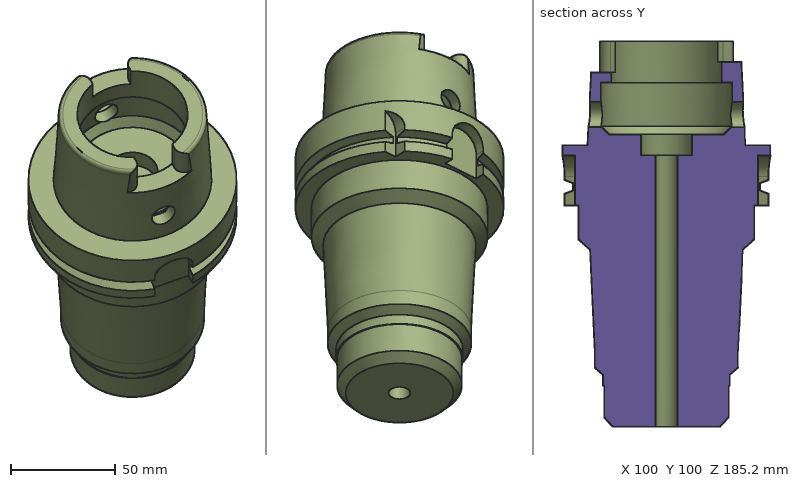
import cadquery as cq

SHANK_LENGTH = 50.0
SHANK_BASE_RADIUS = 38.0
SHANK_TIP_RADIUS = 35.5
SHANK_RIM_FILLET = 2.0

FLANGE_RADIUS = 50.0
FLANGE_THICKNESS = 29.0
GROOVE_RADIUS = 46.0
GROOVE_CENTER_Z = -20.0
GROOVE_FLOOR_WIDTH = 3.4
GROOVE_MOUTH_WIDTH = 6.6

COLLAR_RADIUS = 42.3
COLLAR_END_Z = -45.3
BODY_TOP_RADIUS = 36.75
BODY_TOP_Z = -50.2
BODY_END_RADIUS = 34.5
BODY_TAPER_END_Z = -98.9
BODY_END_Z = -106.8
NECK_RADIUS = 30.5
NECK_TOP_Z = -110.3
NOSE_RADIUS = 30.0
NOSE_TOP_Z = -115.5
NOSE_CHAMFER_HEIGHT = 4.5
NOSE_CHAMFER_WIDTH = 4.2
BODY_LENGTH = 135.2

MOUTH_BORE_RADIUS = 26.5
MOUTH_BORE_DEPTH = 20.0
CHAMBER_RADIUS = 31.5
CHAMBER_FLOOR_Z = 5.2
CHAMBER_FLOOR_CHAMFER = 4.0
RECESS_RADIUS = 12.2
RECESS_DEPTH = 10.0
COOLANT_RADIUS = 5.25

RIM_SLOT_WIDTH = 20.0
RIM_SLOT_DEPTH_NEG_X = 10.0
RIM_SLOT_DEPTH_POS_X = 15.0
DRIVE_LUG_HALF_LENGTH = 32.1
DRIVE_LUG_CORNER_RADIUS = 5.0

CROSS_HOLE_RADIUS = 6.0
CROSS_HOLE_Z = 14.8

KEYWAY_RADIUS = 10.0
KEYWAY_TOP_Z = -5.0
KEYWAY_FLOOR_X = 44.0
NOTCH_FLOOR_X = 32.2
NOTCH_EDGE_Y = 31.5

CUT_MARGIN = 5.0
CUT_REACH = FLANGE_RADIUS + CUT_MARGIN


def make_body():
    """Revolve the outer half profile about Z."""
    floor_half = GROOVE_FLOOR_WIDTH / 2
    mouth_half = GROOVE_MOUTH_WIDTH / 2
    outline = [
        (0, SHANK_LENGTH),
        (SHANK_TIP_RADIUS, SHANK_LENGTH),
        (SHANK_BASE_RADIUS, 0),
        (FLANGE_RADIUS, 0),
        (FLANGE_RADIUS, GROOVE_CENTER_Z + mouth_half),
        (GROOVE_RADIUS, GROOVE_CENTER_Z + floor_half),
        (GROOVE_RADIUS, GROOVE_CENTER_Z - floor_half),
        (FLANGE_RADIUS, GROOVE_CENTER_Z - mouth_half),
        (FLANGE_RADIUS, -FLANGE_THICKNESS),
        (COLLAR_RADIUS, -FLANGE_THICKNESS),
        (COLLAR_RADIUS, COLLAR_END_Z),
        (BODY_TOP_RADIUS, BODY_TOP_Z),
        (BODY_END_RADIUS, BODY_TAPER_END_Z),
        (BODY_END_RADIUS, BODY_END_Z),
        (NECK_RADIUS, NECK_TOP_Z),
        (NECK_RADIUS, NOSE_TOP_Z),
        (NOSE_RADIUS, NOSE_TOP_Z),
        (NOSE_RADIUS, -BODY_LENGTH + NOSE_CHAMFER_HEIGHT),
        (NOSE_RADIUS - NOSE_CHAMFER_WIDTH, -BODY_LENGTH),
        (0, -BODY_LENGTH),
    ]
    body = cq.Workplane("XZ").polyline(outline).close().revolve(360, (0, 0, 0), (0, 1, 0))
    return body.faces(">Z").edges().fillet(SHANK_RIM_FILLET)


def bore(radius, top_z, bottom_z):
    """Cylinder on the Z axis between two heights."""
    return cq.Workplane("XY").workplane(offset=bottom_z).circle(radius).extrude(top_z - bottom_z)


def make_bores():
    """Mouth bore, wider chamber with a bevelled floor edge, recess and coolant hole."""
    chamber_top_z = SHANK_LENGTH - MOUTH_BORE_DEPTH
    mouth = bore(MOUTH_BORE_RADIUS, SHANK_LENGTH, chamber_top_z)
    chamber = bore(CHAMBER_RADIUS, chamber_top_z, CHAMBER_FLOOR_Z)
    chamber = chamber.faces("<Z").chamfer(CHAMBER_FLOOR_CHAMFER)
    recess = bore(RECESS_RADIUS, CHAMBER_FLOOR_Z, CHAMBER_FLOOR_Z - RECESS_DEPTH)
    coolant = bore(COOLANT_RADIUS, SHANK_LENGTH, -BODY_LENGTH)
    return mouth.union(chamber).union(recess).union(coolant)


def make_rim_slot(side, depth):
    """Drive slot on the +X (side = 1) or -X (side = -1) half; it flares round the ends of the lugs."""
    half_width = RIM_SLOT_WIDTH / 2
    corner = DRIVE_LUG_CORNER_RADIUS
    lug_end = side * DRIVE_LUG_HALF_LENGTH
    corner_start = lug_end - side * corner
    outer = side * CUT_REACH
    corner_y = half_width + corner
    return (
        cq.Workplane("XY")
        .workplane(offset=SHANK_LENGTH - depth)
        .moveTo(0, -half_width)
        .lineTo(corner_start, -half_width)
        .tangentArcPoint((lug_end, -corner_y), relative=False)
        .lineTo(lug_end, -FLANGE_RADIUS)
        .lineTo(outer, -FLANGE_RADIUS)
        .lineTo(outer, FLANGE_RADIUS)
        .lineTo(lug_end, FLANGE_RADIUS)
        .lineTo(lug_end, corner_y)
        .tangentArcPoint((corner_start, half_width), relative=False)
        .lineTo(0, half_width)
        .close()
        .extrude(depth)
    )


def make_cross_hole():
    """Radial hole along X through both walls of the shank."""
    return (
        cq.Workplane("YZ")
        .center(0, CROSS_HOLE_Z)
        .circle(CROSS_HOLE_RADIUS)
        .extrude(CUT_REACH, both=True)
    )


def make_keyway(side, floor_x, center_y):
    """Round-topped flat-floored slot cut inwards along X, open at the flange underside."""
    arc_z = KEYWAY_TOP_Z - KEYWAY_RADIUS
    return (
        cq.Workplane("YZ")
        .workplane(offset=side * floor_x)
        .moveTo(center_y - KEYWAY_RADIUS, -FLANGE_THICKNESS)
        .lineTo(center_y - KEYWAY_RADIUS, arc_z)
        .threePointArc((center_y, KEYWAY_TOP_Z), (center_y + KEYWAY_RADIUS, arc_z))
        .lineTo(center_y + KEYWAY_RADIUS, -FLANGE_THICKNESS)
        .close()
        .extrude(side * (CUT_REACH - floor_x))
    )


result = make_body().cut(make_bores())
result = result.cut(make_rim_slot(-1, RIM_SLOT_DEPTH_NEG_X))
result = result.cut(make_rim_slot(1, RIM_SLOT_DEPTH_POS_X))
result = result.cut(make_cross_hole())
for keyway_side in (-1, 1):
    result = result.cut(make_keyway(keyway_side, KEYWAY_FLOOR_X, 0))
result = result.cut(make_keyway(-1, NOTCH_FLOOR_X, NOTCH_EDGE_Y + KEYWAY_RADIUS))